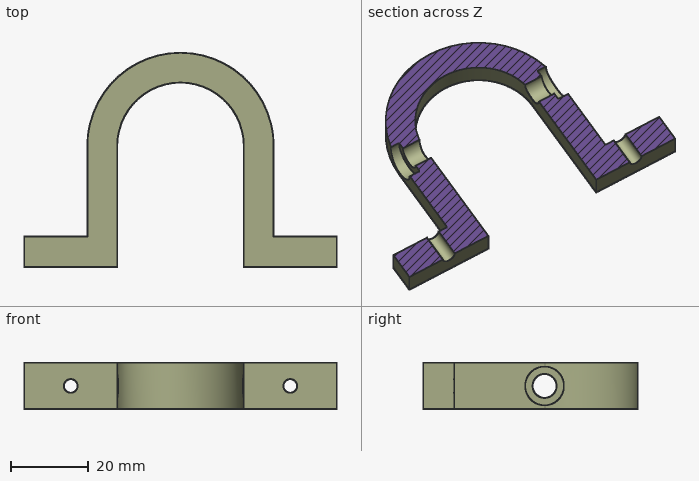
import cadquery as cq

length = 80.5
depth = 55.2
height = 12.0
outer_radius = 24.0
inner_radius = 16.3
foot_thickness = 8.0
foot_hole_diameter = 3.5
cross_hole_diameter = 6.1
counterbore_diameter = 10.0
counterbore_depth = 3.0

arch_center_y = depth - outer_radius
foot_hole_x = (length / 2 + inner_radius) / 2
mid_height = height / 2


def make_strap():
    """U-shaped strap with a foot turned outward at each open end."""
    return (
        cq.Workplane("XY")
        .moveTo(-length / 2, 0)
        .lineTo(-inner_radius, 0)
        .lineTo(-inner_radius, arch_center_y)
        .threePointArc((0, arch_center_y + inner_radius), (inner_radius, arch_center_y))
        .lineTo(inner_radius, 0)
        .lineTo(length / 2, 0)
        .lineTo(length / 2, foot_thickness)
        .lineTo(outer_radius, foot_thickness)
        .lineTo(outer_radius, arch_center_y)
        .threePointArc((0, depth), (-outer_radius, arch_center_y))
        .lineTo(-outer_radius, foot_thickness)
        .lineTo(-length / 2, foot_thickness)
        .close()
        .extrude(height)
    )


def cylinder_along(axis, diameter, start, reach):
    """Cylinder from a start point along the given direction."""
    return cq.Workplane(
        cq.Solid.makeCylinder(diameter / 2, reach, cq.Vector(*start), cq.Vector(*axis))
    )


result = make_strap()

for side in (-1, 1):
    foot_hole_start = (side * foot_hole_x, 0, mid_height)
    result = result.cut(cylinder_along((0, 1, 0), foot_hole_diameter, foot_hole_start, foot_thickness))

cross_hole_start = (-outer_radius, arch_center_y, mid_height)
result = result.cut(cylinder_along((1, 0, 0), cross_hole_diameter, cross_hole_start, 2 * outer_radius))
for side in (-1, 1):
    counterbore_start = (side * outer_radius, arch_center_y, mid_height)
    result = result.cut(
        cylinder_along((-side, 0, 0), counterbore_diameter, counterbore_start, counterbore_depth)
    )